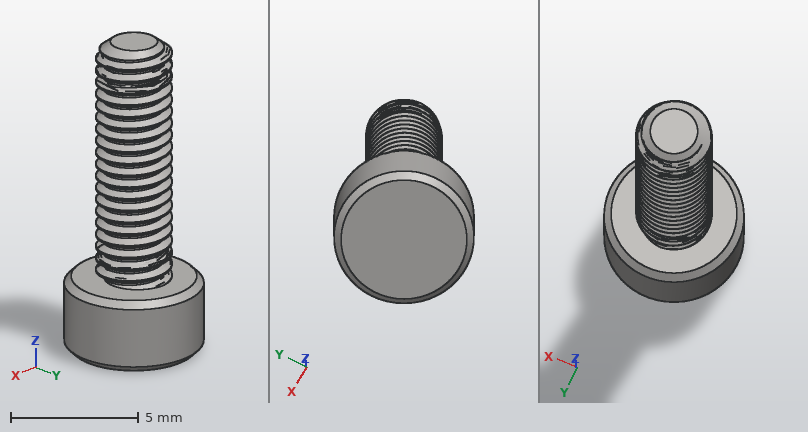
import cadquery as cq
import math

HEAD_DIAMETER = 5.5
HEAD_HEIGHT = 3.0
HEAD_CHAMFER = 0.28

SHANK_LENGTH = 10.0
TIP_RADIUS = 0.93
TIP_CHAMFER_HEIGHT = 0.44

MAJOR_RADIUS = 1.5
PITCH = 0.5
FLANK_SLOPE = math.tan(math.radians(30))
SHARP_V_HEIGHT = PITCH / (2 * FLANK_SLOPE)
ROOT_RADIUS = MAJOR_RADIUS - SHARP_V_HEIGHT * 17 / 24
CREST_FLAT = PITCH / 8

FIRST_CREST_HEIGHT = 0.34

RIDGE_EMBED = 0.03
RUNOUT_TURNS = 2
RUNOUT = RUNOUT_TURNS * PITCH

TRIM_CLEARANCE = 0.1

SCREW_TOP = HEAD_HEIGHT + SHANK_LENGTH


def make_head():
    """Cylindrical head, chamfered on both rims."""
    head = cq.Workplane("XY").circle(HEAD_DIAMETER / 2).extrude(HEAD_HEIGHT)
    return head.faces("<Z or >Z").edges().chamfer(HEAD_CHAMFER)


def make_core():
    """Cylinder at the thread root, longer than the shank at both ends."""
    core = cq.Workplane("XY").workplane(offset=HEAD_HEIGHT - RUNOUT)
    return core.circle(ROOT_RADIUS).extrude(SHANK_LENGTH + 2 * RUNOUT)


def make_thread_ridge():
    """Right-handed helical sweep of one trapezoidal thread tooth."""
    start_height = HEAD_HEIGHT + FIRST_CREST_HEIGHT - RUNOUT
    inner_radius = ROOT_RADIUS - RIDGE_EMBED
    crest_half_width = CREST_FLAT / 2
    inner_half_width = crest_half_width + (MAJOR_RADIUS - inner_radius) * FLANK_SLOPE

    helix = cq.Wire.makeHelix(PITCH, SHANK_LENGTH + RUNOUT, ROOT_RADIUS)
    helix = helix.moved(cq.Location(cq.Vector(0, 0, start_height)))
    tooth = (
        cq.Workplane("XZ")
        .moveTo(inner_radius, start_height - inner_half_width)
        .lineTo(MAJOR_RADIUS, start_height - crest_half_width)
        .lineTo(MAJOR_RADIUS, start_height + crest_half_width)
        .lineTo(inner_radius, start_height + inner_half_width)
        .close()
    )
    return tooth.sweep(cq.Workplane(obj=helix), isFrenet=True)


def make_trim_body():
    """Clear of the crests at the side, it cuts the shank to length and cones its tip."""
    trim_radius = MAJOR_RADIUS + TRIM_CLEARANCE
    cone_slope = TIP_CHAMFER_HEIGHT / (MAJOR_RADIUS - TIP_RADIUS)
    cone_height = (trim_radius - TIP_RADIUS) * cone_slope
    return (
        cq.Workplane("XZ")
        .moveTo(0, HEAD_HEIGHT)
        .lineTo(trim_radius, HEAD_HEIGHT)
        .lineTo(trim_radius, SCREW_TOP - cone_height)
        .lineTo(TIP_RADIUS, SCREW_TOP)
        .lineTo(0, SCREW_TOP)
        .close()
        .revolve(360, (0, 0, 0), (0, 1, 0))
    )


threaded_shank = make_core().union(make_thread_ridge()).intersect(make_trim_body())
result = make_head().union(threaded_shank)